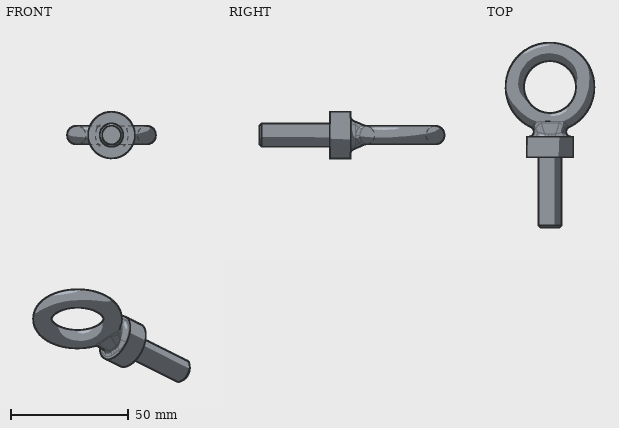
import cadquery as cq

ring_outer_diameter = 38.0
wire_diameter = 8.0
wire_radius = wire_diameter / 2
ring_radius = ring_outer_diameter / 2 - wire_radius

total_length = 78.95
shank_diameter = 10.0
shank_length = 30
tip_chamfer = 1.0
collar_diameter = 20.0
collar_thickness = 8.85

neck_radius = 6.95
neck_base_half_height = 6.6
neck_flat_length = 6.2
neck_overlap = 1.6
neck_edge_fillet = 3.0
neck_base_fillet = 2.0
neck_ring_fillet = 2.0

collar_top = shank_length + collar_thickness
ring_center = total_length - ring_outer_diameter / 2
neck_top = ring_center - ring_radius + neck_overlap

margin = 0.1


def cylinder_along_y(diameter, start, end):
    plane = cq.Plane(origin=(0, start, 0), xDir=(1, 0, 0), normal=(0, 1, 0))
    return cq.Workplane(plane).circle(diameter / 2).extrude(end - start)


def make_ring():
    center = cq.Vector(0, ring_center, 0)
    axis = cq.Vector(0, 0, 1)
    return cq.Workplane(obj=cq.Solid.makeTorus(ring_radius, wire_radius, center, axis))


def make_neck():
    """Round post between two planes that converge from the collar to the wire."""
    post = cylinder_along_y(2 * neck_radius, collar_top, neck_top)
    slope = (neck_base_half_height - wire_radius) / neck_flat_length
    top_half_height = neck_base_half_height - slope * (neck_top - collar_top)
    wedge = (
        cq.Workplane("YZ")
        .polyline([
            (collar_top, -neck_base_half_height),
            (collar_top, neck_base_half_height),
            (neck_top, top_half_height),
            (neck_top, -top_half_height),
        ])
        .close()
        .extrude(neck_radius, both=True)
    )
    return post.intersect(wedge).edges("%ELLIPSE").fillet(neck_edge_fillet)


def neck_edges_between(low, high):
    """Select the edges lying wholly around the neck, between two stations along Y."""
    reach = neck_radius + margin
    return cq.selectors.BoxSelector((-reach, low, -reach), (reach, high, reach), boundingbox=True)


shank = cylinder_along_y(shank_diameter, 0, shank_length).faces("<Y").chamfer(tip_chamfer)
collar = cylinder_along_y(collar_diameter, shank_length, collar_top)
eye = make_neck().union(make_ring())
bolt = shank.union(collar).union(eye)

seat = neck_edges_between(collar_top - margin, collar_top + margin)
bolt = bolt.edges(seat).fillet(neck_base_fillet)
runout = neck_edges_between(collar_top + margin, neck_top)
result = bolt.edges(runout).fillet(neck_ring_fillet)